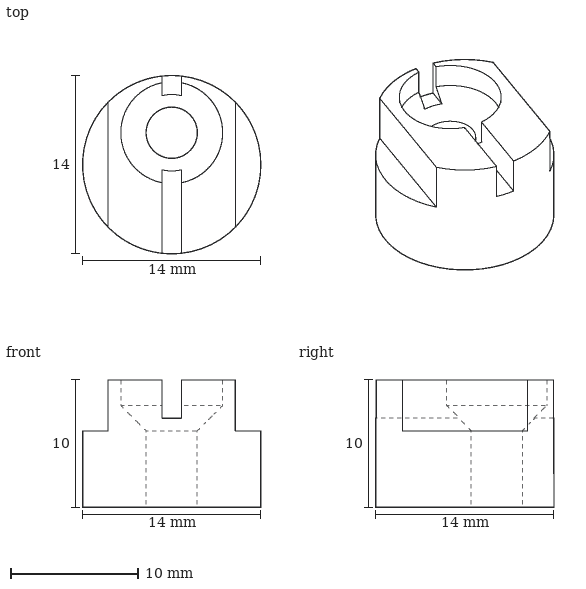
import cadquery as cq

body_diameter = 14.0
body_height = 10.0
shoulder_height = 6.0
head_width = 10.0

slot_width = 1.5
slot_depth = 3.0

bore_offset_y = 2.5
recess_diameter = 8.0
recess_depth = 2.0
hole_diameter = 4.0
cone_depth = (recess_diameter - hole_diameter) / 2


def make_body():
    """Round base up to the shoulder, with the flatted head above it."""
    base = cq.Workplane("XY").circle(body_diameter / 2).extrude(shoulder_height)
    head_limits = cq.Workplane("XY").box(
        head_width, body_diameter, body_height, centered=(True, True, False)
    )
    head = cq.Workplane("XY").circle(body_diameter / 2).extrude(body_height).intersect(head_limits)
    return base.union(head)


def make_slot():
    """Straight slot open at the top and at both ends."""
    return (
        cq.Workplane("XY", origin=(0, 0, body_height - slot_depth))
        .rect(slot_width, body_diameter)
        .extrude(slot_depth)
    )


def make_bore():
    """Half profile of the bore, revolved about its own vertical axis."""
    recess_floor = body_height - recess_depth
    cone_bottom = recess_floor - cone_depth
    return (
        cq.Workplane("XZ", origin=(0, bore_offset_y, 0))
        .moveTo(0, 0)
        .lineTo(hole_diameter / 2, 0)
        .lineTo(hole_diameter / 2, cone_bottom)
        .lineTo(recess_diameter / 2, recess_floor)
        .lineTo(recess_diameter / 2, body_height)
        .lineTo(0, body_height)
        .close()
        .revolve(360, (0, 0, 0), (0, 1, 0))
    )


result = make_body().cut(make_slot()).cut(make_bore())